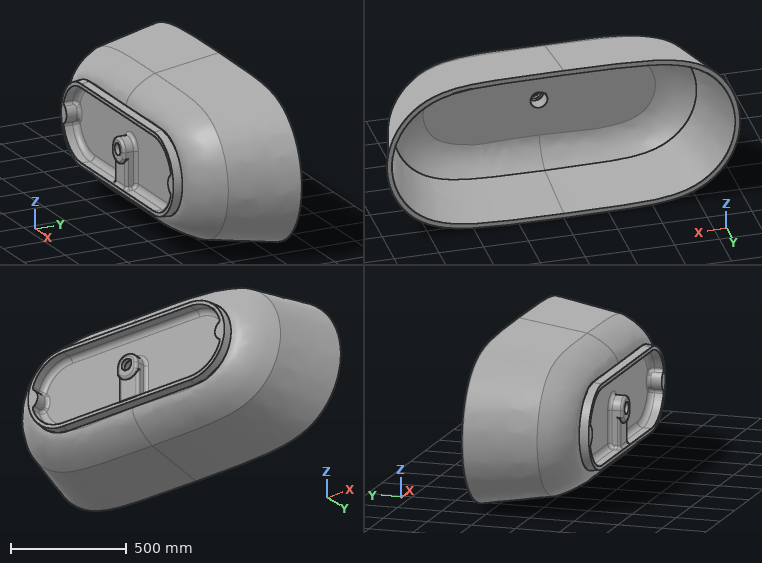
import cadquery as cq
import math

LENGTH = 1579.0
WIDTH = 730.0
HEIGHT = 495.0

BREAK_LENGTH = 1402.0
BREAK_WIDTH = 641.0
BREAK_Y = 182.0

LIP_HEIGHT = 5.0

OVAL_SHOULDER = [(0.4, 0.99), (0.78, 0.83), (0.94, 0.49)]

BELLY_SLOPE_SHARE = 0.4
BELLY_LEVELS = [0.0, 0.3, 0.6, 0.85, 1.0]

FOOT_LENGTH = 1083.0
FOOT_WIDTH = 388.0
FOOT_HEIGHT = 41.0
FOOT_DRAFT_ANGLE = 6.5
FOOT_CENTRES = FOOT_LENGTH - FOOT_WIDTH

SLOT_ANGLES = [90, 45, 22.5]

RECESS_WIDTH = 345.0
RECESS_DEPTH = 66.0
RECESS_FILLET = 25.0

LUG_RADIUS = 47.0
LUG_X = 532.0

BOSS_WIDTH = 107.0
PAD_Y = 2.0
PAD_SIDE = 32.0
PAD_REACH = 66.0
BAR_Y = 15.0
BOSS_TOP_FILLET = 13.0

BASE_FILLET = 16.0

WALL = 22.0
FLOOR_Y = RECESS_DEPTH + WALL
DRAIN_DIAMETER = 54.0
SEAT_DIAMETER = 76.0


def plane_at(y):
    """Sketch plane parallel to XZ at height y; its normal points to -Y."""
    return cq.Workplane("XZ", origin=(0, y, 0))


def slot_shoulder():
    """Shoulder of the foot slot, as shares of its half length and half width."""
    radius = FOOT_WIDTH / 2
    shares = []
    for angle in SLOT_ANGLES:
        x = FOOT_CENTRES / 2 + radius * math.cos(math.radians(angle))
        shares.append((x / (FOOT_LENGTH / 2), math.sin(math.radians(angle))))
    return shares


def outline(y, length, width, blend):
    """Closed outline; blend 0 is the oval of the rim, blend 1 the slot of the foot."""
    a = length / 2
    b = width / 2
    quarter = [(0, b)]
    for (u0, v0), (u1, v1) in zip(OVAL_SHOULDER, slot_shoulder()):
        quarter.append((a * (u0 + blend * (u1 - u0)), b * (v0 + blend * (v1 - v0))))
    half = quarter + [(a, 0)] + [(x, -z) for x, z in reversed(quarter)]
    other = [(-x, -z) for x, z in half]
    edges = []
    for points, direction in ((half, 1), (other, -1)):
        tangents = [cq.Vector(direction, 0, 0), cq.Vector(-direction, 0, 0)]
        edges.append(cq.Edge.makeSpline([cq.Vector(x, y, z) for x, z in points], tangents=tangents))
    return cq.Wire.assembleEdges(edges)


def tub(bottom_y, inset):
    """Upright lip, sloping wall and rounded belly, with every outline drawn in by the inset."""
    shrink = 2 * inset
    rim = outline(HEIGHT - LIP_HEIGHT, LENGTH - shrink, WIDTH - shrink, 0)
    lip = cq.Solid.extrudeLinear(rim, [], cq.Vector(0, LIP_HEIGHT, 0))
    belly = []
    for level in BELLY_LEVELS:
        rounding = 1 - math.sqrt(1 - level**2)
        blend = BELLY_SLOPE_SHARE * level + (1 - BELLY_SLOPE_SHARE) * rounding
        y = BREAK_Y - level * (BREAK_Y - bottom_y)
        length = BREAK_LENGTH + blend * (FOOT_LENGTH - BREAK_LENGTH)
        width = BREAK_WIDTH + blend * (FOOT_WIDTH - BREAK_WIDTH)
        belly.append(outline(y, length - shrink, width - shrink, blend))
    wall = cq.Solid.makeLoft([belly[0], rim], True)
    return cq.Workplane(wall).union(cq.Workplane(cq.Solid.makeLoft(belly))).union(cq.Workplane(lip))


def foot():
    top = plane_at(FOOT_HEIGHT).slot2D(FOOT_LENGTH, FOOT_WIDTH)
    return top.extrude(FOOT_HEIGHT, taper=FOOT_DRAFT_ANGLE)


def drain_boss():
    """Rounded bar with a higher pad around the drain, arched at the top and bowed at the bottom."""
    half_width = BOSS_WIDTH / 2
    bar_end = RECESS_WIDTH / 2
    bar = plane_at(BAR_Y).center(0, -bar_end / 2).rect(BOSS_WIDTH, bar_end).extrude(BAR_Y - RECESS_DEPTH)
    bar = bar.edges("<Y and |Z").fillet(BOSS_TOP_FILLET)
    pad = (
        plane_at(PAD_Y)
        .moveTo(-half_width, -PAD_SIDE)
        .lineTo(-half_width, 0)
        .threePointArc((0, half_width), (half_width, 0))
        .lineTo(half_width, -PAD_SIDE)
        .threePointArc((0, -PAD_REACH), (-half_width, -PAD_SIDE))
        .close()
        .extrude(PAD_Y - RECESS_DEPTH)
    )
    pad = pad.faces("<Y").edges().fillet(BOSS_TOP_FILLET)
    return bar.union(pad)


def round_base(space, x, reach):
    """Round where a lug or the boss meets the recess floor, within reach of x."""
    around = cq.selectors.BoxSelector((x - reach, 0, -reach), (x + reach, HEIGHT, reach))
    return space.faces(">Y").edges(around).fillet(BASE_FILLET)


def recess():
    """Space inside the foot ring, rounded along its floor and around the lugs and the boss."""
    space = plane_at(0).slot2D(FOOT_CENTRES + RECESS_WIDTH, RECESS_WIDTH).extrude(-RECESS_DEPTH)
    space = space.faces(">Y").edges().fillet(RECESS_FILLET)
    lugs = plane_at(0).pushPoints([(-LUG_X, 0), (LUG_X, 0)]).circle(LUG_RADIUS).extrude(-RECESS_DEPTH)
    space = space.cut(lugs).cut(drain_boss())
    for x in (-LUG_X, LUG_X):
        space = round_base(space, x, LUG_RADIUS + BASE_FILLET)
    return round_base(space, 0, BOSS_WIDTH)


def drain():
    """Hole through the pad, opening into the seat in the basin floor."""
    hole = plane_at(0).circle(DRAIN_DIAMETER / 2).extrude(-FLOOR_Y)
    seat_y = PAD_Y + WALL
    seat = plane_at(seat_y).circle(SEAT_DIAMETER / 2).extrude(seat_y - FLOOR_Y)
    return hole.union(seat)


basin = tub(FLOOR_Y, WALL)
result = tub(FOOT_HEIGHT, 0).union(foot()).cut(basin).cut(recess()).cut(drain())